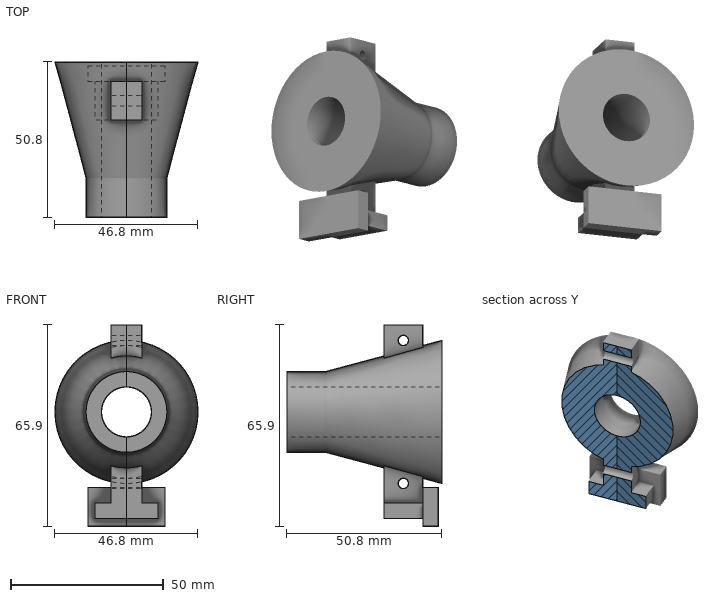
import cadquery as cq

neck_length = 12.7
cone_length = 38.1
neck_radius = 13.21
mouth_radius = 23.42
bore_radius = 8.135
total_length = neck_length + cone_length

lug_width = 10.15
lug_length = 12.7
lug_mouth_gap = 6.3
lug_top = 28.45
lug_root = neck_radius
lug_rear = total_length - lug_mouth_gap
lug_front = lug_rear - lug_length

screw_radius = 1.65
screw_height = 23.4
screw_y = (lug_front + lug_rear) / 2

overall_height = 65.9
plate_width = 25.3
plate_height = 12.7
plate_thickness = 5.1
plate_bottom = lug_top - overall_height
plate_top = plate_bottom + plate_height
foot_width = 20.5
foot_thickness = 5.15
foot_lift = 2.5
foot_bottom = plate_bottom + foot_lift
foot_top = foot_bottom + foot_thickness


def centered_block(width, front, rear, bottom, top):
    """Block centered on x = 0, placed by its limits along Y and Z."""
    block = cq.Workplane("XY").box(width, rear - front, top - bottom, centered=(True, False, False))
    return block.translate((0, front, bottom))


def make_funnel():
    """Solid neck and cone, revolved about the Y axis."""
    return (
        cq.Workplane("XY")
        .moveTo(0, 0)
        .lineTo(neck_radius, 0)
        .lineTo(neck_radius, neck_length)
        .lineTo(mouth_radius, total_length)
        .lineTo(0, total_length)
        .close()
        .revolve(360, (0, 0, 0), (0, 1, 0))
    )


def make_bore():
    """Straight bore through the whole funnel."""
    return cq.Workplane("XZ").circle(bore_radius).extrude(-total_length)


def make_screw_holes():
    """One hole along X through each lug."""
    return (
        cq.Workplane("YZ")
        .pushPoints([(screw_y, screw_height), (screw_y, -screw_height)])
        .circle(screw_radius)
        .extrude(lug_width, both=True)
    )


def make_whole_holder():
    """Both halves together, before the split at x = 0."""
    upper_lug = centered_block(lug_width, lug_front, lug_rear, lug_root, lug_top)
    lower_lug = centered_block(lug_width, lug_front, lug_rear, foot_bottom, -lug_root)
    foot = centered_block(foot_width, lug_front, lug_rear, foot_bottom, foot_top)
    end_plate = centered_block(plate_width, lug_rear, lug_rear + plate_thickness, plate_bottom, plate_top)
    holder = make_funnel().union(upper_lug).union(lower_lug).union(foot).union(end_plate)
    return holder.cut(make_bore()).cut(make_screw_holes())


def make_half(side):
    """Half of the holder on one side of x = 0; side is -1 for left, 1 for right."""
    half_space = centered_block(overall_height, 0, total_length, plate_bottom, lug_top)
    half_space = half_space.translate((side * overall_height / 2, 0, 0))
    return make_whole_holder().intersect(half_space).solids()


left_half = make_half(-1)
right_half = make_half(1)

result = cq.Compound.makeCompound([left_half.val(), right_half.val()])